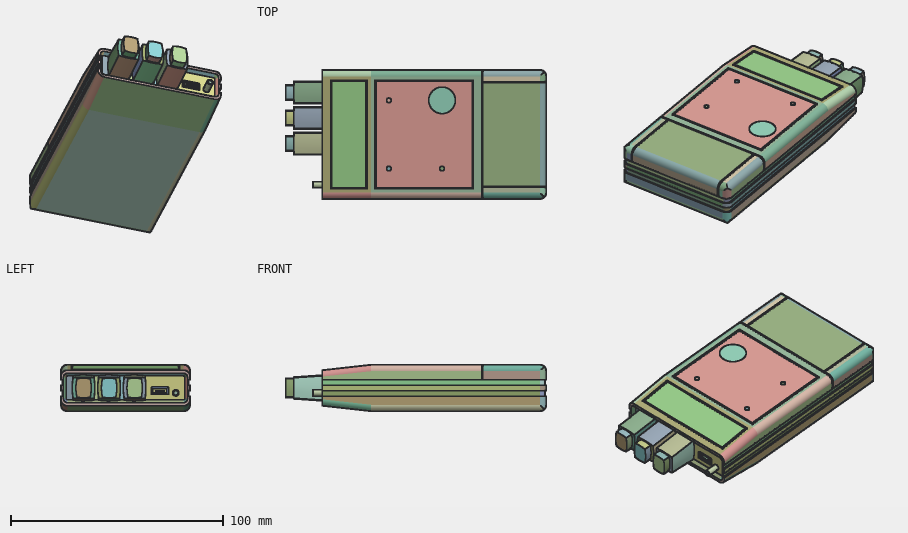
import cadquery as cq
import math

length = 122.9
width = 61.0
height = 22.0

front_x = 17.2
shoulder_x = 40.3
nose_height = 16.8
edge_radius = 3.1

groove_depth = 0.6
band_height = 2.6
band_offset = band_height
lid_bottom = 1.5 * band_height
seam_width = 0.5
seam_x = 92.8
lid_slot_y = 24.7
frame_width = 0.6
frame_length_y = 51.2
nose_frame_x = (21.1, 38.3)
main_frame_x = (42.0, 88.5)

lamp_diameter = 2.2
lamp_depth = 0.2
lamp_x = (48.7, 73.7)
lamp_y = (16.1, -16.1)
disc_diameter = 12.5
disc_depth = 0.06

recess_width = 58.5
recess_height = 13.8
recess_depth = 1.7
recess_margin = 1.2
recess_radius = 1.8
floor_x = front_x + recess_depth

button_y = (19.8, 7.7, -4.3)
shank_x = 3.8
shank_width = 9.8
shank_tip_height = 9.6
shank_root_height = 11.5
cap_width = 6.4
cap_height = 8.5
bulge = 0.43

pin_x = 12.8
pin_y = -23.7
pin_z = -2.3
pin_diameter = 3.0
pin_bore = 2.2
pin_bore_depth = 0.2

usb_y = -16.2
usb_z = -1.2
usb_width = 8.4
usb_height = 3.7
usb_corner = 1.0
usb_rim = 0.9
usb_rim_depth = 0.5
usb_depth = 2.5
tongue_width = 3.9
tongue_height = 0.7
tongue_drop = 0.5


def box_between(x_range, y_range, z_range):
    """Axis-aligned box given by its limits."""
    size = [high - low for low, high in (x_range, y_range, z_range)]
    corner = (x_range[0], y_range[0], z_range[0])
    return cq.Workplane("XY").box(*size, centered=False).translate(corner)


def facing_front(x, y=0, z=0):
    """Plane across X whose axes are Y and Z and whose normal is +X."""
    return cq.Workplane("YZ", origin=(x, y, z))


def housing(inset):
    """Rounded housing, drawn in by `inset` on all sides but the front face.

    The body edges are rounded along each axis separately, so the rounds meet in mitres.
    """
    half_width = width / 2 - inset
    half_height = height / 2 - inset
    radius = edge_radius - inset
    block = box_between(
        (shoulder_x, length - inset), (-half_width, half_width), (-half_height, half_height)
    )
    body = block.edges("|X").fillet(radius)
    for rear_edges in ("|Y and >X", "|Z and >X"):
        body = body.intersect(block.edges(rear_edges).fillet(radius))

    front = cq.Sketch().rect(2 * half_width, nose_height - 2 * inset).vertices().fillet(radius)
    shoulder = cq.Sketch().rect(2 * half_width, 2 * half_height).vertices().fillet(radius)
    taper = cq.Location(cq.Vector(0, 0, shoulder_x - front_x))
    nose = facing_front(front_x).placeSketch(front, shoulder.moved(taper)).loft()
    return body.union(nose)


def frame(x_range):
    """Upright rectangular tube that outlines a panel on the top side."""
    x_size = x_range[1] - x_range[0]
    center_x = sum(x_range) / 2
    outer = cq.Workplane("XY").center(center_x, 0).rect(x_size, frame_length_y)
    return outer.rect(x_size - 2 * frame_width, frame_length_y - 2 * frame_width).extrude(height)


def groove_paths():
    """Solids whose overlap with the housing skin forms the grooves."""
    everywhere_x = (0, length)
    everywhere_y = (-width / 2, width / 2)
    lid_z = (lid_bottom, height)
    paths = [frame(nose_frame_x), frame(main_frame_x)]
    for side in (1, -1):
        band_z = side * band_offset
        band_range = (band_z - band_height / 2, band_z + band_height / 2)
        paths.append(box_between(everywhere_x, everywhere_y, band_range))
        slot_y = side * lid_slot_y
        slot_range = (slot_y - seam_width / 2, slot_y + seam_width / 2)
        paths.append(box_between((seam_x, length), slot_range, lid_z))
    seam_range = (seam_x - seam_width / 2, seam_x + seam_width / 2)
    paths.append(box_between(seam_range, everywhere_y, lid_z))
    return paths


def grooved_housing():
    body = housing(0)
    skin = body.cut(housing(groove_depth))
    for path in groove_paths():
        body = body.cut(path.intersect(skin))
    return body


def cover_marks():
    """Cutters for the lamp holes and the shallow disc on the main cover."""
    top = cq.Workplane("XY").workplane(offset=height / 2)
    lamps = [(lamp_x[0], lamp_y[0]), (lamp_x[0], lamp_y[1]), (lamp_x[1], lamp_y[1])]
    holes = top.pushPoints(lamps).circle(lamp_diameter / 2).extrude(-lamp_depth)
    disc = top.center(lamp_x[1], lamp_y[0]).circle(disc_diameter / 2).extrude(-disc_depth)
    return holes.add(disc)


def connector_recess():
    lean = math.degrees(math.atan2(recess_margin, recess_depth))
    opening = facing_front(front_x).sketch().rect(recess_width, recess_height)
    opening = opening.vertices().fillet(recess_radius).finalize()
    return opening.extrude(recess_depth, taper=lean)


def bowed_rectangle(plane, w, h):
    """Rectangle whose four sides bow outward."""
    return (
        plane.moveTo(-w / 2, -h / 2)
        .threePointArc((0, -h / 2 - bulge), (w / 2, -h / 2))
        .threePointArc((w / 2 + bulge, 0), (w / 2, h / 2))
        .threePointArc((0, h / 2 + bulge), (-w / 2, h / 2))
        .threePointArc((-w / 2 - bulge, 0), (-w / 2, -h / 2))
        .close()
    )


def button(y):
    tip = bowed_rectangle(facing_front(shank_x, y), shank_width, shank_tip_height)
    root_plane = tip.workplane(offset=floor_x - shank_x)
    shank = bowed_rectangle(root_plane, shank_width, shank_root_height).loft()
    cap = bowed_rectangle(facing_front(0, y), cap_width, cap_height).extrude(shank_x)
    return shank.union(cap)


def antenna_pin():
    start = facing_front(pin_x, pin_y, pin_z)
    pin = start.circle(pin_diameter / 2).extrude(floor_x - pin_x)
    return pin.cut(start.circle(pin_bore / 2).extrude(pin_bore_depth))


def usb_socket():
    """Cutter for the stepped socket, leaving the contact tongue standing."""
    start = facing_front(floor_x, usb_y, usb_z)
    mouth = start.rect(usb_width, usb_height).extrude(usb_rim_depth)
    mouth = mouth.edges("|X and >Z").fillet(usb_corner)
    cavity = start.rect(usb_width - 2 * usb_rim, usb_height - 2 * usb_rim).extrude(usb_depth)
    tongue = start.center(0, -tongue_drop).rect(tongue_width, tongue_height).extrude(usb_depth)
    return mouth.union(cavity).cut(tongue)


result = grooved_housing().cut(cover_marks()).cut(connector_recess()).cut(usb_socket())
for y in button_y:
    result = result.union(button(y))
result = result.union(antenna_pin())